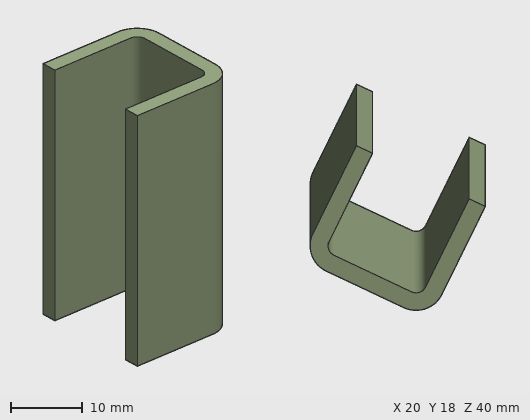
import cadquery as cq

width = 20.0
depth = 18.0
height = 40.0
outer_bend_radius = 4.0
wall = 2.5
inner_bend_radius = outer_bend_radius - wall


def rounded_block(block_width, back_y, bend_radius):
    """Upright block from the open front (y = 0) to back_y, with both back edges rounded."""
    return (
        cq.Workplane("XY")
        .rect(block_width, back_y, centered=(True, False))
        .extrude(height)
        .edges("|Z and >Y")
        .fillet(bend_radius)
    )


outer = rounded_block(width, depth, outer_bend_radius)
inner = rounded_block(width - 2 * wall, depth - wall, inner_bend_radius)

result = outer.cut(inner)